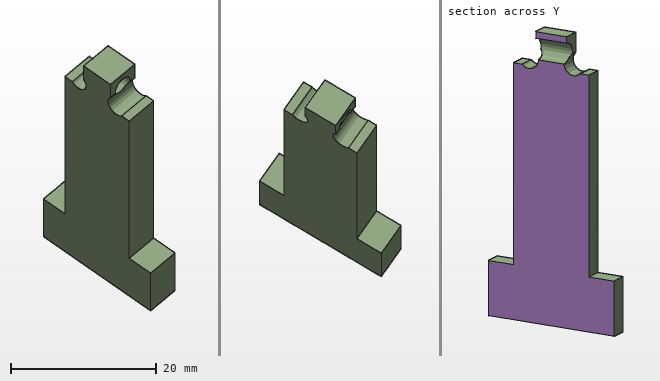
import cadquery as cq
import math

total_height = 42.0
thickness = 5.0
base_width = 20.0
base_height = 8.0
body_width = 12.0
head_width = 5.0
head_height = 5.0
hole_diameter = 3.0
relief_diameter = 3.0

shoulder_z = total_height - head_height
hole_z = total_height - head_height / 2


def centred_block(width, bottom_z, top_z):
    """Full-thickness block centred on the Z axis between two levels."""
    return (
        cq.Workplane("XY")
        .workplane(offset=bottom_z)
        .rect(width, thickness)
        .extrude(top_z - bottom_z)
    )


def corner_reliefs():
    """Round cutters passing through both inner corners of head and shoulder."""
    corner_offset = relief_diameter / 2 * math.sqrt(0.5)
    relief_x = head_width / 2 + corner_offset
    relief_z = shoulder_z + corner_offset
    return (
        cq.Workplane("XZ")
        .pushPoints([(side * relief_x, relief_z) for side in (-1, 1)])
        .circle(relief_diameter / 2)
        .extrude(thickness / 2, both=True)
    )


def cross_hole():
    """Hole through the middle of the head along X."""
    return (
        cq.Workplane("YZ")
        .center(0, hole_z)
        .circle(hole_diameter / 2)
        .extrude(base_width / 2, both=True)
    )


base = centred_block(base_width, 0, base_height)
body = centred_block(body_width, base_height, shoulder_z)
head = centred_block(head_width, shoulder_z, total_height)

result = base.union(body).union(head).cut(corner_reliefs()).cut(cross_hole())